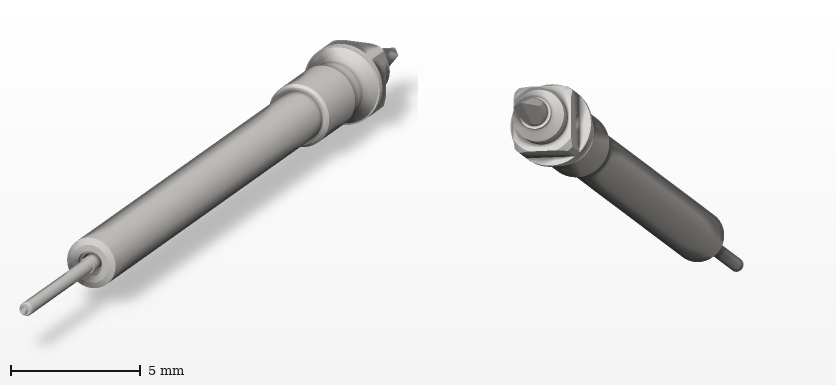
import cadquery as cq

total_length = 36.3

stem_radius = 0.5
stem_end = 2.32
steep_edge_length = 0.85
slender_edge_length = 1.9

neck_radius = 0.6
neck_end = 2.5
nose_radius = 1.0
nose_start = 2.85

flange_radius = 1.6
head_corner_radius = flange_radius

head_start = 3.52
head_width = 2.3
head_height = 2.55
head_chamfer = 0.2
dimple_radius = 0.272
dimple_center = 4.5

flange_start = 4.95
flange_end = 5.2
flare_end = 5.9
flare_radius = 1.52
flare_sag = 0.05

waist_radius = 1.15
waist_end = 6.7
collar_radius = 1.27
collar_end = 9.47
collar_lead_in = 0.1

tube_radius = 1.0
tube_end = 29.73
tube_end_chamfer_length = 0.1
tube_end_chamfer_depth = 0.25
entry_radius = 0.5
entry_depth = 0.18
bore_radius = 0.4
bore_depth = 0.73

pin_root_radius = 0.31
pin_root_end = 30.02
pin_radius = 0.272
pin_chamfer_length = 0.1
pin_chamfer_depth = 0.05
nub_radius = 0.1
nub_length = 0.2


def turned(*outline):
    """Revolve a (radius, distance from tip) outline, closed along the axis, about Y."""
    first_start = outline[0][1]
    last_end = outline[-1][1]
    points = [(radius, -distance) for radius, distance in outline]
    profile = cq.Workplane("XY").polyline([(0, -first_start)] + points + [(0, -last_end)]).close()
    return profile.revolve(360, (0, 0, 0), (0, 1, 0))


def plunger_tip():
    stem = turned((stem_radius, 0), (stem_radius, stem_end))
    half_width = stem_radius * stem_end / steep_edge_length
    half_height = stem_radius * stem_end / slender_edge_length
    rhombus = [(half_width, 0), (0, half_height), (-half_width, 0), (0, -half_height)]
    corners = [cq.Vector(x, -stem_end, z) for x, z in rhombus]
    apex = cq.Vector(0, 0, 0)
    faces = [cq.Face.makeFromWires(cq.Wire.makePolygon(corners, close=True))]
    for index, corner in enumerate(corners):
        side = cq.Wire.makePolygon([corners[index - 1], corner, apex], close=True)
        faces.append(cq.Face.makeFromWires(side))
    pyramid = cq.Solid.makeSolid(cq.Shell.makeShell(faces))
    return stem.intersect(cq.Workplane(pyramid))


def neck():
    return turned(
        (neck_radius, stem_end),
        (neck_radius, neck_end),
        (nose_radius, nose_start),
        (nose_radius, head_start),
    )


def head():
    length = flange_start - head_start
    block = cq.Workplane("XY").box(head_width, length, head_height)
    block = block.translate((0, -(head_start + flange_start) / 2, 0))
    rounded_corners = turned(
        (head_corner_radius - head_chamfer, head_start),
        (head_corner_radius, head_start + head_chamfer),
        (head_corner_radius, flange_start),
    )
    dimple = cq.Workplane("YZ", origin=(-head_width / 2, -dimple_center, 0)).sphere(dimple_radius)
    return block.intersect(rounded_corners).cut(dimple)


def flange_and_flare():
    flange = turned((flange_radius, flange_start), (flange_radius, flange_end))
    middle_radius = (flare_radius + waist_radius) / 2 - flare_sag
    middle = (flange_end + flare_end) / 2
    flare = (
        cq.Workplane("XY")
        .moveTo(0, -flange_end)
        .lineTo(flare_radius, -flange_end)
        .threePointArc((middle_radius, -middle), (waist_radius, -flare_end))
        .lineTo(0, -flare_end)
        .close()
        .revolve(360, (0, 0, 0), (0, 1, 0))
    )
    return flange.union(flare)


def barrel():
    outside = turned(
        (waist_radius, flare_end),
        (waist_radius, waist_end),
        (collar_radius, waist_end + collar_lead_in),
        (collar_radius, collar_end - collar_lead_in),
        (collar_radius - collar_lead_in, collar_end),
        (tube_radius, collar_end),
        (tube_radius, tube_end - tube_end_chamfer_length),
        (tube_radius - tube_end_chamfer_depth, tube_end),
    )
    stepped_bore = turned(
        (bore_radius, tube_end - bore_depth),
        (bore_radius, tube_end - entry_depth),
        (entry_radius, tube_end - entry_depth),
        (entry_radius, tube_end),
    )
    return outside.cut(stepped_bore)


def tail_pin():
    pin_end = total_length - nub_length
    return turned(
        (pin_root_radius, tube_end - bore_depth),
        (pin_root_radius, pin_root_end),
        (pin_radius, pin_root_end),
        (pin_radius, pin_end - pin_chamfer_length),
        (pin_radius - pin_chamfer_depth, pin_end),
        (nub_radius, pin_end),
        (nub_radius, total_length),
    )


result = (
    plunger_tip()
    .union(neck())
    .union(head())
    .union(flange_and_flare())
    .union(barrel())
    .union(tail_pin())
)